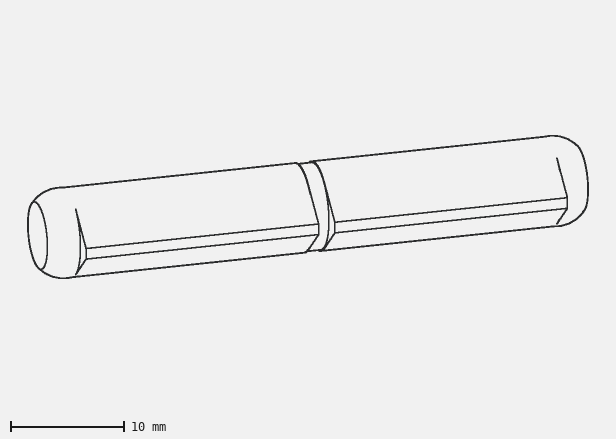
import cadquery as cq
import math

total_length = 50.0
barrel_radius = 8.0 / 2
washer_radius = 7.8 / 2
washer_thickness = 1.5

dome_length = 2.75
end_face_radius = 3.0
dome_arc_radius = 3.0

lip_tip_x = 5.7
lip_tip_half_height = 0.5

end_y = total_length / 2
dome_start_y = end_y - dome_length
washer_half = washer_thickness / 2
lip_length = dome_start_y - washer_half


def dome_midpoint():
    """Middle of the dome arc, as (radius, y), bulging outward from its chord."""
    radial_drop = barrel_radius - end_face_radius
    chord = math.hypot(radial_drop, dome_length)
    bulge = dome_arc_radius - math.sqrt(dome_arc_radius**2 - (chord / 2) ** 2)
    middle_radius = (barrel_radius + end_face_radius) / 2
    middle_y = (dome_start_y + end_y) / 2
    return (
        middle_radius + bulge * dome_length / chord,
        middle_y + bulge * radial_drop / chord,
    )


def lip_tangent_point():
    """Point (x, z) where the line to the upper tip corner touches the barrel."""
    tip_distance = math.hypot(lip_tip_x, lip_tip_half_height)
    tip_angle = math.atan2(lip_tip_half_height, lip_tip_x)
    contact_angle = tip_angle + math.acos(barrel_radius / tip_distance)
    return barrel_radius * math.cos(contact_angle), barrel_radius * math.sin(contact_angle)


def make_body():
    """Barrels and washer as one solid of revolution about Y, with domed ends."""
    dome_radius, dome_y = dome_midpoint()
    return (
        cq.Workplane("XY")
        .moveTo(0, -end_y)
        .lineTo(end_face_radius, -end_y)
        .threePointArc((dome_radius, -dome_y), (barrel_radius, -dome_start_y))
        .lineTo(barrel_radius, -washer_half)
        .lineTo(washer_radius, -washer_half)
        .lineTo(washer_radius, washer_half)
        .lineTo(barrel_radius, washer_half)
        .lineTo(barrel_radius, dome_start_y)
        .threePointArc((dome_radius, dome_y), (end_face_radius, end_y))
        .lineTo(0, end_y)
        .close()
        .revolve(360, (0, 0, 0), (0, 1, 0))
    )


def make_lip():
    """Tapered lip whose flanks run tangent to the barrel."""
    contact_x, contact_z = lip_tangent_point()
    return (
        cq.Workplane("XZ", origin=(0, washer_half, 0))
        .moveTo(0, 0)
        .lineTo(contact_x, contact_z)
        .lineTo(lip_tip_x, lip_tip_half_height)
        .lineTo(lip_tip_x, -lip_tip_half_height)
        .lineTo(contact_x, -contact_z)
        .close()
        .extrude(-lip_length)
    )


lip = make_lip()
result = make_body().union(lip).union(lip.mirror("XZ"))